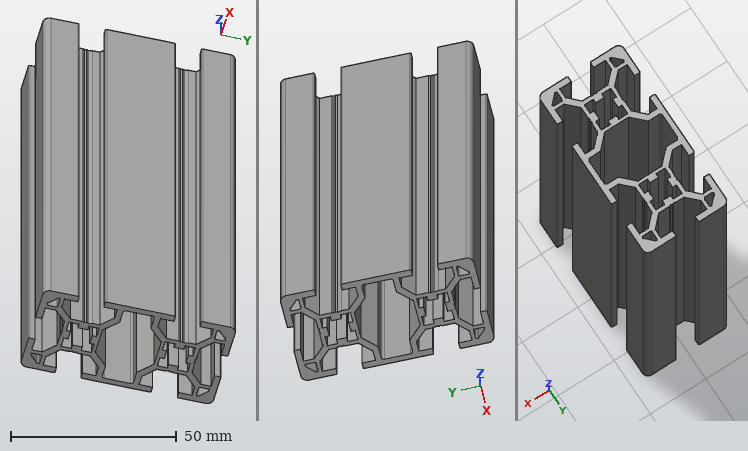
import cadquery as cq

length = 135.0
width = 30.0
height = 2 * width
half_cell = width / 2
outer_radius = 2.0

mouth_half_width = 4.0
lip_radius = 0.4
lip_thickness = 2.0
slot_ceiling = half_cell - lip_thickness
slot_half_width = 8.2
slot_shoulder = 9.7
slot_floor = 6.1
slot_foot = slot_half_width - (slot_shoulder - slot_floor)

groove_depth = 0.3
groove_start = 0.7
first_groove_bottom = 0.1
groove_ridge = -0.4
second_groove_bottom = -1.0
groove_end = -2.3

core_width = 9.5
rib_width = 3.1
rib_height = 1.4

hollow_inner = 9.5
hollow_outer = 12.8
hollow_cut = 10.1
hollow_radius = 0.4

side_wall = 1.8
chamber_half_width = half_cell - side_wall
chamber_shoulder_x = 8.6
chamber_shoulder_y = 4.9
chamber_end_x = 4.3
chamber_end_y = chamber_shoulder_y + chamber_shoulder_x - chamber_end_x
chamber_radius = 0.8


def prism(points):
    """Full-length prism with the given polygon as its section."""
    return cq.Workplane("XY").polyline(points).close().extrude(length)


def turned(shape, angle):
    """Shape turned about the Z axis."""
    return shape.rotate((0, 0, 0), (0, 0, 1), angle)


def slot_cutter():
    """T-slot that opens toward +Y, with rounded outer edges on its lips."""
    groove_bottom = slot_floor - groove_depth
    lip_round_start = half_cell - lip_radius
    lip_round_end = mouth_half_width + lip_radius
    return (
        cq.Workplane("XY")
        .moveTo(slot_foot, slot_floor)
        .lineTo(slot_half_width, slot_shoulder)
        .lineTo(slot_half_width, slot_ceiling)
        .lineTo(mouth_half_width, slot_ceiling)
        .lineTo(mouth_half_width, lip_round_start)
        .radiusArc((lip_round_end, half_cell), lip_radius)
        .lineTo(-lip_round_end, half_cell)
        .radiusArc((-mouth_half_width, lip_round_start), lip_radius)
        .lineTo(-mouth_half_width, slot_ceiling)
        .lineTo(-slot_half_width, slot_ceiling)
        .lineTo(-slot_half_width, slot_shoulder)
        .lineTo(-slot_foot, slot_floor)
        .lineTo(groove_end, slot_floor)
        .lineTo(second_groove_bottom, groove_bottom)
        .lineTo(groove_ridge, slot_floor)
        .lineTo(first_groove_bottom, groove_bottom)
        .lineTo(groove_start, slot_floor)
        .close()
        .extrude(length)
    )


def core_cutter():
    """Square core with a rib left standing on each wall."""
    core = cq.Workplane("XY").rect(core_width, core_width).extrude(length)
    rib_center = (core_width - rib_height) / 2
    rib = cq.Workplane("XY").center(0, rib_center).rect(rib_width, rib_height).extrude(length)
    for angle in (0, 90, 180, 270):
        core = core.cut(turned(rib, angle))
    return core


def hollow_cutter():
    """Hollow in the +X +Y corner of a cell."""
    points = [
        (hollow_inner, hollow_inner),
        (hollow_outer, hollow_inner),
        (hollow_outer, hollow_cut),
        (hollow_cut, hollow_outer),
        (hollow_inner, hollow_outer),
    ]
    return prism(points).edges("|Z").fillet(hollow_radius)


def cell_cutter():
    """Everything removed from the cell on the +Y side, placed in the part."""
    cutter = core_cutter()
    for angle in (-90, 0, 90):
        cutter = cutter.union(turned(slot_cutter(), angle))
    for angle in (0, 90):
        cutter = cutter.union(turned(hollow_cutter(), angle))
    return cutter.translate((0, half_cell, 0))


def chamber_cutter():
    """Central chamber that narrows at 45 degrees toward each cell core."""
    upper_right = [
        (chamber_half_width, chamber_shoulder_y),
        (chamber_shoulder_x, chamber_shoulder_y),
        (chamber_end_x, chamber_end_y),
    ]
    upper = upper_right + [(-x, y) for x, y in reversed(upper_right)]
    lower = [(-x, -y) for x, y in upper]
    chamber = prism(upper + lower)
    return chamber.edges("|Z and (<X or >X)").fillet(chamber_radius)


cell = cell_cutter()
body = cq.Workplane("XY").rect(width, height).extrude(length)
body = body.edges("|Z").fillet(outer_radius)
result = body.cut(cell).cut(turned(cell, 180)).cut(chamber_cutter())